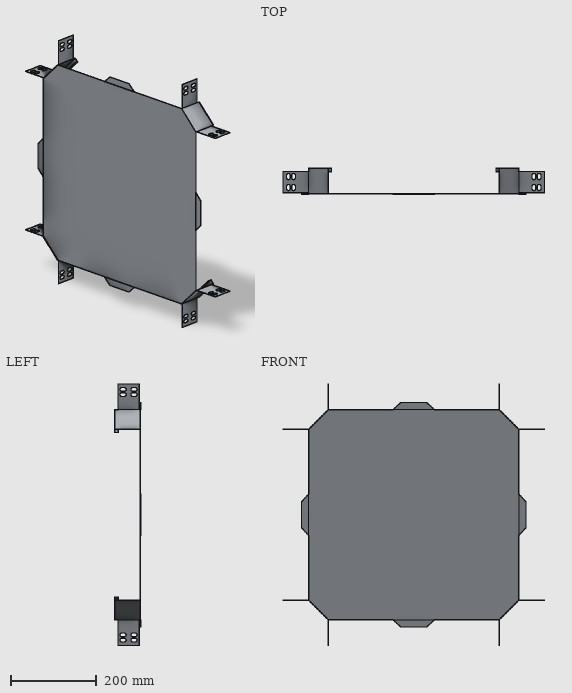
import cadquery as cq
import math

span = 610.0
depth = 61.0
sheet = 1.0

plate_front = 0.5
plate_thickness = 1.5
plate_side = 490.5
corner_cut = 46.0

tab_base = 96.5
tab_tip = 61.0
tab_height = 16.5

bend_angle = 45
flange_back = 53.5
flange_gap = 1.5
lip_width = 11.5
hook_length = 8.5

slot_length = 14.0
slot_width = 8.0
slot_column_pitch = 12.0
slot_row_pitch = 25.5
slot_edge_distance = 13.0

half_span = span / 2
half_plate = plate_side / 2
cut_start = half_plate - corner_cut
plate_back = plate_front + plate_thickness
flange_front = plate_back + flange_gap
miter = sheet * math.tan(math.radians(bend_angle / 2))


def prism(points, y_front, y_back):
    """Extrude an outline of (x, z) points from y_front to y_back."""
    outline = cq.Workplane("XZ", origin=(0, y_front, 0)).polyline(points).close()
    return outline.extrude(y_front - y_back)


def quarter_turns(body):
    """Join four copies of a body, turned about the Y axis."""
    copies = body
    for turn in range(1, 4):
        copies = copies.union(body.rotate((0, 0, 0), (0, 1, 0), 90 * turn))
    return copies


def cover_plate():
    center_y = plate_front + plate_thickness / 2
    square = cq.Workplane("XY").box(plate_side, plate_thickness, plate_side)
    return square.edges("|Y").chamfer(corner_cut).translate((0, center_y, 0))


def edge_tab():
    """Tab standing on the +Z edge of the plate, slightly proud of its front face."""
    outline = [
        (-tab_base / 2, half_plate),
        (-tab_tip / 2, half_plate + tab_height),
        (tab_tip / 2, half_plate + tab_height),
        (tab_base / 2, half_plate),
    ]
    return prism(outline, 0, sheet)


def diagonal_band(outer, inner, y_front, y_back):
    """Strip along the +X +Z corner cut, between two distances inward from it."""
    out_step = outer / math.sqrt(2)
    in_step = inner / math.sqrt(2)
    points = [
        (half_plate - out_step, cut_start - out_step),
        (cut_start - out_step, half_plate - out_step),
        (cut_start - in_step, half_plate - in_step),
        (half_plate - in_step, cut_start - in_step),
    ]
    return prism(points, y_front, y_back)


def slots_along_flange():
    """Cutters for the four slots in the flange that points to +X."""
    column_center = half_span - slot_edge_distance - slot_column_pitch / 2
    row_center = (flange_front + flange_back) / 2
    return (
        cq.Workplane("XY", origin=(column_center, row_center, cut_start - sheet))
        .rarray(slot_column_pitch, slot_row_pitch, 2, 2)
        .slot2D(slot_length, slot_width, 90)
        .extrude(sheet)
    )


def corner_bracket():
    """Bracket on the +X +Z corner of the plate."""
    bent_sheet = [
        (half_span, cut_start),
        (half_plate, cut_start),
        (cut_start, half_plate),
        (cut_start, half_span),
        (cut_start - sheet, half_span),
        (cut_start - sheet, half_plate - miter),
        (half_plate - miter, cut_start - sheet),
        (half_span, cut_start - sheet),
    ]
    slots = slots_along_flange()
    mirrored_slots = slots.rotate((0, 0, 0), (0, 1, 0), -90).mirror("YZ")
    flanges = prism(bent_sheet, flange_front, flange_back).cut(slots).cut(mirrored_slots)

    wall = diagonal_band(0, sheet, plate_back, depth)
    lip = diagonal_band(0, lip_width, depth - sheet, depth)
    hook = diagonal_band(lip_width - sheet, lip_width, depth - hook_length, depth)
    return flanges.union(wall).union(lip).union(hook)


result = (
    cover_plate()
    .union(quarter_turns(edge_tab()))
    .union(quarter_turns(corner_bracket()))
)